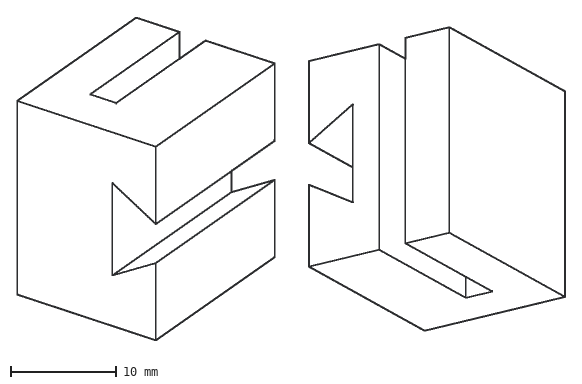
import cadquery as cq
import math

width = 16.0
depth = 20.0
height = 21.0

wall = 5.0
slot_width = 3.0

groove_depth = 5.0
groove_floor_width = 10.0
flank_angle = 30.0


def make_block():
    return cq.Workplane("XY").box(width, depth, height, centered=False)


def make_slot():
    slot_length = depth - wall
    return (
        cq.Workplane("XY")
        .box(slot_width, slot_length, height, centered=False)
        .translate((wall, wall, 0))
    )


def make_dovetail():
    mid_height = height / 2
    floor_x = width - groove_depth
    floor_half = groove_floor_width / 2
    mouth_half = floor_half - groove_depth * math.tan(math.radians(flank_angle))
    return (
        cq.Workplane("XZ")
        .moveTo(floor_x, mid_height - floor_half)
        .lineTo(width, mid_height - mouth_half)
        .lineTo(width, mid_height + mouth_half)
        .lineTo(floor_x, mid_height + floor_half)
        .close()
        .extrude(-depth)
    )


result = make_block().cut(make_slot()).cut(make_dovetail())